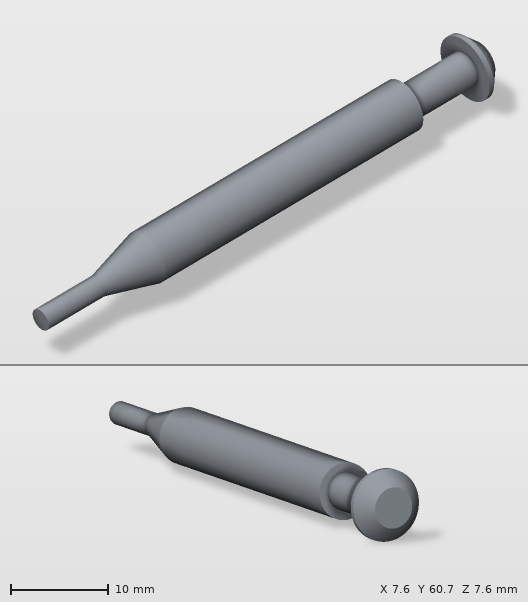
import cadquery as cq

total_length = 60.7

head_diameter = 7.6
head_thickness = 2.25
head_chamfer = 1.65
rod_diameter = 4.0
rod_length = 8.45

barrel_diameter = 6.0
barrel_length = 30.0

collar_length = 5.5
taper_length = 6.55
tip_diameter = 2.5

head_rear_y = total_length / 2
head_front_y = head_rear_y - head_thickness
barrel_rear_y = head_front_y - rod_length
barrel_front_y = barrel_rear_y - barrel_length
taper_rear_y = barrel_front_y - collar_length
taper_front_y = taper_rear_y - taper_length
tip_end_y = head_rear_y - total_length


def revolve_about_y(outline):
    """Revolve a closed half profile of (radius, y) points about the Y axis."""
    return cq.Workplane("XY").polyline(outline).close().revolve(360, (0, 0), (0, 1))


def make_plunger():
    """Push rod with a chamfered head; its front end rests on the barrel."""
    head_radius = head_diameter / 2
    rod_radius = rod_diameter / 2
    return revolve_about_y([
        (0, head_rear_y),
        (head_radius - head_chamfer, head_rear_y),
        (head_radius, head_rear_y - head_chamfer),
        (head_radius, head_front_y),
        (rod_radius, head_front_y),
        (rod_radius, barrel_rear_y),
        (0, barrel_rear_y),
    ])


def make_barrel():
    """Plain cylindrical barrel between the plunger and the nose."""
    barrel_radius = barrel_diameter / 2
    return revolve_about_y([
        (0, barrel_rear_y),
        (barrel_radius, barrel_rear_y),
        (barrel_radius, barrel_front_y),
        (0, barrel_front_y),
    ])


def make_nose():
    """Nose flush with the barrel, tapering down to a thin straight tip."""
    collar_radius = barrel_diameter / 2
    tip_radius = tip_diameter / 2
    return revolve_about_y([
        (0, barrel_front_y),
        (collar_radius, barrel_front_y),
        (collar_radius, taper_rear_y),
        (tip_radius, taper_front_y),
        (tip_radius, tip_end_y),
        (0, tip_end_y),
    ])


plunger = make_plunger()
barrel = make_barrel()
nose = make_nose()

result = cq.Compound.makeCompound([plunger.val(), barrel.val(), nose.val()])